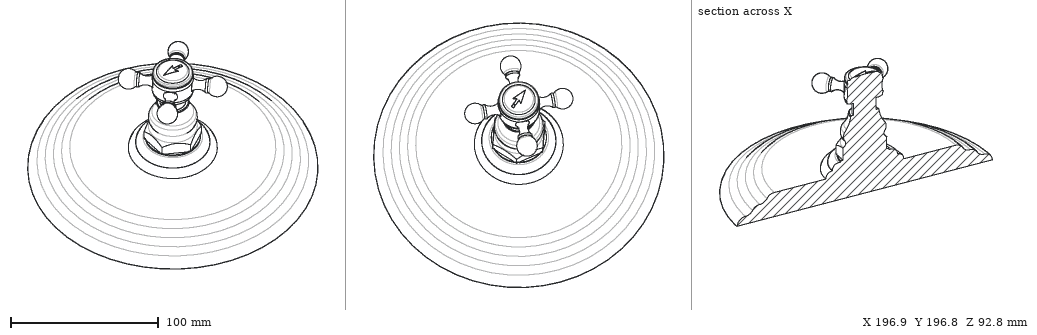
import cadquery as cq
import math

PLATE_RADIUS = 98.425
PLATE_THICKNESS = 19.05
RIM_ROUND = PLATE_THICKNESS / 3
OGEE_COUNT = 2
PLATE_FACE_RADIUS = 69.85

RING_COUNT = 2
RING_RADIUS = 30.16
RING_ROUND = 5.08
RING_STEP = 4.9
WASHER_RADIUS = 18.7
WASHER_THICKNESS = 1.05

NUT_ACROSS_FLATS = 34.0
NUT_HEIGHT = 9.5
NUT_TOP_RADIUS = 16.6

NECK_RADIUS = 15.0
NECK_HEIGHT = 5.3
NECK_WAIST_RISE = 3.2
BEAD_RADIUS = 16.6
BEAD_EDGE_RADIUS = 15.9
BEAD_HEIGHT = 5.9
CONE_TOP_RADIUS = 14.2
CONE_HEIGHT = 2.4
SHOULDER_MID_RADIUS = 12.05
SHOULDER_RADIUS = 11.1
SHOULDER_HEIGHT = 8.9
SHOULDER_CHAMFER = 0.6
STEM_RADIUS = 8.8

ARM_AXIS_Z = 80.5
HUB_BOTTOM_DROP = 8.75
HUB_BOTTOM_RADIUS = 10.0
HUB_SKIRT_DROP = 7.6
HUB_SKIRT_RADIUS = 13.6
HUB_WAIST_HALF_HEIGHT = 5.1
HUB_FLANGE_RADIUS = 14.2
HUB_WAIST_RADIUS = 13.4
HUB_CAP_RISE = 7.3
HUB_CAP_RADIUS = 13.6
CAP_GROOVE_DEPTH = 0.3
CAP_GROOVE_WIDTH = 0.6
CAP_SIDE_RISE = 9.5
CAP_ROUND = 0.8

TOTAL_HEIGHT = 92.86
BUTTON_RADIUS = 11.1
BUTTON_EDGE_ROUND = 1.2
DOME_RISE = 0.8

ARM_COUNT = 4
ARM_FIRST_ANGLE = 45.0
BALL_RADIUS = 7.0
BALL_CENTRE = 30.2
BALL_END = 25.8
COLLAR_OUTER = 24.3
COLLAR_INNER = 22.7
COLLAR_RADIUS = 4.9
BALL_NECK_RADIUS = 4.4
ARM_WAIST_RADIUS = 3.0
ARM_WAIST_CENTRE = 18.0
ARM_FLARE_RADIUS = 4.8

ARROW_DEPTH = 0.25
SHAFT_WIDTH = 1.7
SHAFT_TOP = 5.0
DOT_BOTTOM = 5.6
DOT_TOP = 7.6
HEAD_HALF_WIDTH = 3.3
HEAD_BARB_Y = 2.3
HEAD_NOTCH_Y = 0.4
HEAD_TIP_Y = -7.8

RINGS_TOP = PLATE_THICKNESS + RING_COUNT * RING_ROUND
NUT_BOTTOM = RINGS_TOP + WASHER_THICKNESS
NUT_TOP = NUT_BOTTOM + NUT_HEIGHT
NECK_TOP = NUT_TOP + NECK_HEIGHT
BEAD_TOP = NECK_TOP + BEAD_HEIGHT
CONE_TOP = BEAD_TOP + CONE_HEIGHT
SHOULDER_TOP = CONE_TOP + SHOULDER_HEIGHT
HUB_BOTTOM = ARM_AXIS_Z - HUB_BOTTOM_DROP


def spin(profile):
    """Close a half profile drawn in the XZ plane and revolve it about Z."""
    return profile.close().revolve(360, (0, 0, 0), (0, 1, 0))


def quarter_round(profile, radius, outer_r, base_z):
    """Add a convex quarter round that starts vertical and ends level."""
    offset = radius * math.sin(math.radians(45))
    centre_r = outer_r - radius
    return profile.threePointArc((centre_r + offset, base_z + offset), (centre_r, base_z + radius))


def make_plate():
    profile = cq.Workplane("XZ").lineTo(PLATE_RADIUS, 0)
    profile = quarter_round(profile, RIM_ROUND, PLATE_RADIUS, 0)
    arc_count = 2 * OGEE_COUNT
    rim_top_radius = PLATE_RADIUS - RIM_ROUND
    arc_run = (rim_top_radius - PLATE_FACE_RADIUS) / arc_count
    arc_rise = (PLATE_THICKNESS - RIM_ROUND) / arc_count
    for i in range(1, arc_count + 1):
        end = (rim_top_radius - i * arc_run, RIM_ROUND + i * arc_rise)
        profile = profile.tangentArcPoint(end, relative=False)
    return spin(profile.lineTo(0, PLATE_THICKNESS))


def make_escutcheon():
    profile = cq.Workplane("XZ").lineTo(RING_RADIUS, 0)
    for i in range(RING_COUNT):
        ring_radius = RING_RADIUS - i * RING_STEP
        ring_base = PLATE_THICKNESS + i * RING_ROUND
        profile = profile.lineTo(ring_radius, ring_base)
        profile = quarter_round(profile, RING_ROUND, ring_radius, ring_base)
    profile = profile.lineTo(WASHER_RADIUS, RINGS_TOP)
    profile = profile.lineTo(WASHER_RADIUS, NUT_BOTTOM)
    return spin(profile.lineTo(0, NUT_BOTTOM))


def make_nut():
    across_corners = NUT_ACROSS_FLATS / math.cos(math.radians(30))
    nut = cq.Workplane("XY", origin=(0, 0, NUT_BOTTOM)).polygon(6, across_corners).extrude(NUT_HEIGHT)
    cone_radius = NUT_TOP_RADIUS + NUT_HEIGHT
    cone = spin(
        cq.Workplane("XZ", origin=(0, 0, NUT_BOTTOM))
        .lineTo(cone_radius, 0)
        .lineTo(NUT_TOP_RADIUS, NUT_HEIGHT)
        .lineTo(0, NUT_HEIGHT)
    )
    return nut.intersect(cone)


def make_bonnet_and_stem():
    return spin(
        cq.Workplane("XZ")
        .moveTo(0, NUT_BOTTOM)
        .lineTo(STEM_RADIUS, NUT_BOTTOM)
        .lineTo(STEM_RADIUS, NUT_TOP)
        .lineTo(NUT_TOP_RADIUS, NUT_TOP)
        .threePointArc((NECK_RADIUS, NUT_TOP + NECK_WAIST_RISE), (BEAD_EDGE_RADIUS, NECK_TOP))
        .threePointArc((BEAD_RADIUS, NECK_TOP + BEAD_HEIGHT / 2), (BEAD_EDGE_RADIUS, BEAD_TOP))
        .lineTo(CONE_TOP_RADIUS, CONE_TOP)
        .threePointArc(
            (SHOULDER_MID_RADIUS, CONE_TOP + SHOULDER_HEIGHT / 2),
            (SHOULDER_RADIUS, SHOULDER_TOP),
        )
        .lineTo(SHOULDER_RADIUS - SHOULDER_CHAMFER, SHOULDER_TOP + SHOULDER_CHAMFER)
        .lineTo(STEM_RADIUS, SHOULDER_TOP + SHOULDER_CHAMFER)
        .lineTo(STEM_RADIUS, HUB_BOTTOM)
        .lineTo(0, HUB_BOTTOM)
    )


def make_hub():
    cap_base = ARM_AXIS_Z + HUB_CAP_RISE
    groove_radius = HUB_CAP_RADIUS - CAP_GROOVE_DEPTH
    cap_side_top = ARM_AXIS_Z + CAP_SIDE_RISE
    cap_top = cap_side_top + CAP_ROUND
    dome_edge_radius = BUTTON_RADIUS - BUTTON_EDGE_ROUND
    dome_edge_z = TOTAL_HEIGHT - DOME_RISE
    button_side_top = dome_edge_z - BUTTON_EDGE_ROUND
    profile = (
        cq.Workplane("XZ")
        .moveTo(0, HUB_BOTTOM)
        .lineTo(HUB_BOTTOM_RADIUS, HUB_BOTTOM)
        .tangentArcPoint((HUB_SKIRT_RADIUS, ARM_AXIS_Z - HUB_SKIRT_DROP), relative=False)
        .lineTo(HUB_FLANGE_RADIUS, ARM_AXIS_Z - HUB_WAIST_HALF_HEIGHT)
        .threePointArc(
            (HUB_WAIST_RADIUS, ARM_AXIS_Z),
            (HUB_FLANGE_RADIUS, ARM_AXIS_Z + HUB_WAIST_HALF_HEIGHT),
        )
        .lineTo(HUB_CAP_RADIUS, cap_base)
        .lineTo(groove_radius, cap_base)
        .lineTo(groove_radius, cap_base + CAP_GROOVE_WIDTH)
        .lineTo(HUB_CAP_RADIUS, cap_base + CAP_GROOVE_WIDTH)
        .lineTo(HUB_CAP_RADIUS, cap_side_top)
    )
    profile = quarter_round(profile, CAP_ROUND, HUB_CAP_RADIUS, cap_side_top)
    profile = profile.lineTo(BUTTON_RADIUS, cap_top).lineTo(BUTTON_RADIUS, button_side_top)
    profile = quarter_round(profile, BUTTON_EDGE_ROUND, BUTTON_RADIUS, button_side_top)
    dome_radius = (dome_edge_radius**2 + DOME_RISE**2) / (2 * DOME_RISE)
    return spin(profile.radiusArc((0, TOTAL_HEIGHT), -dome_radius))


def make_arm(angle):
    """Revolve one arm about X, lift it to the arm axis and turn it to its angle."""
    ball_end_radius = math.sqrt(BALL_RADIUS**2 - (BALL_CENTRE - BALL_END) ** 2)
    flare_start = 2 * ARM_WAIST_CENTRE - COLLAR_INNER
    arm = (
        cq.Workplane("XY")
        .lineTo(0, ARM_WAIST_RADIUS)
        .lineTo(flare_start, ARM_WAIST_RADIUS)
        .lineTo(flare_start, ARM_FLARE_RADIUS)
        .threePointArc((ARM_WAIST_CENTRE, ARM_WAIST_RADIUS), (COLLAR_INNER, ARM_FLARE_RADIUS))
        .lineTo(COLLAR_INNER, COLLAR_RADIUS)
        .lineTo(COLLAR_OUTER, COLLAR_RADIUS)
        .lineTo(COLLAR_OUTER, BALL_NECK_RADIUS)
        .lineTo(BALL_END, ball_end_radius)
        .threePointArc((BALL_CENTRE, BALL_RADIUS), (BALL_CENTRE + BALL_RADIUS, 0))
        .close()
        .revolve(360, (0, 0, 0), (1, 0, 0))
    )
    return arm.translate((0, 0, ARM_AXIS_Z)).rotate((0, 0, 0), (0, 0, 1), angle)


def engrave_arrow(hub):
    """Cut an arrow pointing to -Y into the button, at an even depth below the dome."""
    dome_edge_z = TOTAL_HEIGHT - DOME_RISE
    plane = cq.Workplane("XY", origin=(0, 0, dome_edge_z))
    dot_centre_y = (DOT_BOTTOM + DOT_TOP) / 2
    dot_length = DOT_TOP - DOT_BOTTOM
    dot = plane.center(0, dot_centre_y).rect(SHAFT_WIDTH, dot_length).extrude(DOME_RISE)
    half_shaft = SHAFT_WIDTH / 2
    barb_slope = (HEAD_BARB_Y - HEAD_NOTCH_Y) / HEAD_HALF_WIDTH
    shaft_base_y = HEAD_NOTCH_Y + half_shaft * barb_slope
    arrow = (
        plane.moveTo(-half_shaft, SHAFT_TOP)
        .lineTo(half_shaft, SHAFT_TOP)
        .lineTo(half_shaft, shaft_base_y)
        .lineTo(HEAD_HALF_WIDTH, HEAD_BARB_Y)
        .lineTo(0, HEAD_TIP_Y)
        .lineTo(-HEAD_HALF_WIDTH, HEAD_BARB_Y)
        .lineTo(-half_shaft, shaft_base_y)
        .close()
        .extrude(DOME_RISE)
    )
    floor = hub.translate((0, 0, -ARROW_DEPTH))
    return hub.cut(dot.cut(floor)).cut(arrow.cut(floor))


def make_part():
    part = make_plate().union(make_escutcheon()).union(make_nut()).union(make_bonnet_and_stem())
    handle = engrave_arrow(make_hub())
    for i in range(ARM_COUNT):
        handle = handle.union(make_arm(ARM_FIRST_ANGLE + i * 360 / ARM_COUNT))
    return part.union(handle)


result = make_part()